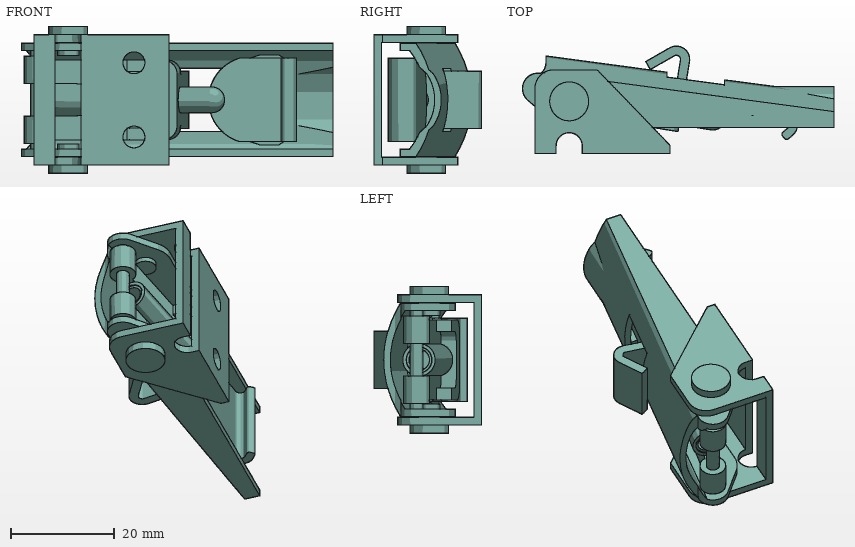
import cadquery as cq
import math


bracket_left = -6.6
bracket_right = 19.45
bracket_top = 6.05
bracket_bottom = -10.1
bracket_half_width = 12.55
bracket_wall = 1.5
bracket_corner_radius = 3.6
bracket_flat_right = 5.4
bracket_nose_height = 1.6
slot_width = 5.0
slot_depth = 4.0
screw_hole_diameter = 4.2
screw_hole_x = 12.65
screw_hole_z = 7.15

rivet_head_diameter = 7.5
rivet_head_height = 1.6
rivet_shank_diameter = 4.15
rivet_inner_end = 8.5

pin_x = -6.0
pin_y = 2.45
pin_diameter = 2.5

lever_half_width = 10.9
lever_wall = 1.45
lever_bottom = -5.05
lever_right = 51.0
lever_tilt = 7.6
ear_radius = 3.0
back_left = -4.5
back_left_crest = 8.75
back_sag = 3.3
back_thickness = 1.25
back_notch_y = 7.4
notch_foot = (-5.5, 5.4)
notch_middle = (-4.75, 6.3)
window_left = 18.85
window_right = 29.9
window_half_width = 6.05

ridge_left = 36.0
ridge_crest = 2.9
ridge_edge_y = 1.4
ridge_edge_z = 5.0
ridge_foot_y = -0.35
ridge_foot_z = 6.6

tab_thickness = 1.7
tab_half_width = 8.05
tab_tip_x = 27.0
tab_shoulder_x = 33.0
curl_x = 41.35
curl_y = -4.5
curl_radius = 2.65
curl_end_angle = -50.0
lip_length = 1.6
lip_rounding = 0.55
flange_left = 35.05
flange_right = 41.5
flange_left_slant = 1.8
flange_right_slant = 0.9
flange_half_width = 8.65
flange_thickness = 0.9

claw_tilt = 9.3
strap_thickness = 1.8
strap_half_width = 7.7
strap_end = 27.95
corner_start = 25.4
corner_middle = (27.3, 6.7)
corner_end_half_width = 4.9
eye_diameter = 5.0
eye_inner_z = 3.1
eye_outer_z = 8.4
rim_start = 18.2
rim_bottom = -3.85
rim_inner_half_width = 5.45
rim_lip_start = 24.0
rim_lip_half_width = 3.55
hook_half_width = 5.5
hook_outer_radius = 2.6
hook_bend_height = 9.85
hook_bend_angle = 129.0
hook_arm_length = 5.35

sleeve_diameter = 6.3
sleeve_start = 3.0
rod_diameter = 5.0
rod_dome_centre = 34.1
rod_counterbore_depth = 0.3
rod_bore_diameter = 4.0
rod_bore_depth = 12.0

rivet_hole_length = 2 * bracket_half_width
lever_slope = math.tan(math.radians(lever_tilt))
lever_inner_z = lever_half_width - lever_wall


def polar(centre, radius, angle):
    """Point at a distance and an angle in degrees from a centre."""
    turn = math.radians(angle)
    return centre[0] + radius * math.cos(turn), centre[1] + radius * math.sin(turn)


def centred_block(left, right, bottom, top, half_width):
    """Block that spans the given X and Y ranges and is centred on Z = 0."""
    block = cq.Workplane("XY").box(right - left, top - bottom, 2 * half_width, centered=(False, False, True))
    return block.translate((left, bottom, 0))


def along_z(diameter, length, x=0.0, y=0.0):
    """Cylinder parallel to Z and centred on Z = 0."""
    return cq.Workplane("XY").center(x, y).circle(diameter / 2).extrude(length).translate((0, 0, -length / 2))


def along_x(diameter, start, end):
    """Cylinder on the X axis."""
    return cq.Workplane("YZ").workplane(offset=start).circle(diameter / 2).extrude(end - start)


def make_bracket():
    """Channel with sloped side walls, split across its base by a slot."""
    nose_top = bracket_bottom + bracket_nose_height
    side = (
        cq.Workplane("XY")
        .moveTo(bracket_left, bracket_bottom)
        .lineTo(bracket_right, bracket_bottom)
        .lineTo(bracket_right, nose_top)
        .lineTo(bracket_flat_right, bracket_top)
        .lineTo(bracket_left + bracket_corner_radius, bracket_top)
        .radiusArc((bracket_left, bracket_top - bracket_corner_radius), -bracket_corner_radius)
        .close()
        .extrude(2 * bracket_half_width)
        .translate((0, 0, -bracket_half_width))
    )
    inside = centred_block(
        bracket_left,
        bracket_right,
        bracket_bottom + bracket_wall,
        bracket_top,
        bracket_half_width - bracket_wall,
    )
    slot_arc_y = bracket_bottom + slot_depth - slot_width / 2
    slot = centred_block(-slot_width / 2, slot_width / 2, bracket_bottom, slot_arc_y, bracket_half_width)
    slot = slot.union(along_z(slot_width, 2 * bracket_half_width, 0, slot_arc_y))
    screw_holes = (
        cq.Workplane("XZ", origin=(screw_hole_x, bracket_bottom, 0))
        .pushPoints([(0, screw_hole_z), (0, -screw_hole_z)])
        .circle(screw_hole_diameter / 2)
        .extrude(-bracket_wall)
    )
    rivet_holes = along_z(rivet_shank_diameter, rivet_hole_length)
    return side.cut(inside).cut(slot).cut(screw_holes).cut(rivet_holes)


def make_rivet(side):
    """Headed rivet on the +Z (side = 1) or -Z (side = -1) wall."""
    shank_length = bracket_half_width - rivet_inner_end
    rivet = (
        cq.Workplane("XY")
        .workplane(offset=side * rivet_inner_end)
        .circle(rivet_shank_diameter / 2)
        .extrude(side * shank_length)
    )
    head = (
        cq.Workplane("XY")
        .workplane(offset=side * bracket_half_width)
        .circle(rivet_head_diameter / 2)
        .extrude(side * rivet_head_height)
    )
    return rivet.union(head)


def arched_prism(half_width, drop):
    """Space under the arched back, lowered by drop and running down its slope."""
    start = 2 * back_left
    length = lever_right - 2 * start
    edge_y = -back_sag - drop
    floor_y = -lever_right
    prism = (
        cq.Workplane("YZ", origin=(start, 0, 0))
        .moveTo(floor_y, -half_width)
        .lineTo(edge_y, -half_width)
        .threePointArc((-drop, 0), (edge_y, half_width))
        .lineTo(floor_y, half_width)
        .close()
        .extrude(length)
    )
    return prism.rotate((0, 0, 0), (0, 0, 1), -lever_tilt).translate(
        (0, back_left_crest + back_left * lever_slope, 0)
    )


def ridge_prism(drop):
    """Space under the level ridge, lowered by drop."""
    return (
        cq.Workplane("YZ", origin=(ridge_left, 0, 0))
        .moveTo(lever_bottom, -ridge_foot_z)
        .lineTo(ridge_foot_y - drop, -ridge_foot_z)
        .lineTo(ridge_edge_y - drop, -ridge_edge_z)
        .threePointArc((ridge_crest - drop, 0), (ridge_edge_y - drop, ridge_edge_z))
        .lineTo(ridge_foot_y - drop, ridge_foot_z)
        .lineTo(lever_bottom, ridge_foot_z)
        .close()
        .extrude(lever_right - ridge_left)
    )


def make_lever_shell():
    """Open channel with an arched back and two ears that reach round the pin."""
    pivot = (0.0, 0.0)
    pin = (pin_x, pin_y)
    pivot_radius = -lever_bottom
    spacing = math.hypot(pin_x, pin_y)
    pin_to_pivot_angle = math.degrees(math.atan2(-pin_y, -pin_x))
    tangent_offset = math.degrees(math.acos((ear_radius - pivot_radius) / spacing))
    tangent_angle = pin_to_pivot_angle - tangent_offset
    pivot_arc_middle = polar(pivot, pivot_radius, (tangent_angle - 90) / 2)
    pivot_arc_end = polar(pivot, pivot_radius, tangent_angle)
    side = (
        cq.Workplane("XY")
        .moveTo(lever_right, lever_bottom)
        .lineTo(0, lever_bottom)
        .threePointArc(pivot_arc_middle, pivot_arc_end)
        .lineTo(*polar(pin, ear_radius, tangent_angle))
        .threePointArc(polar(pin, ear_radius, 180), notch_foot)
        .threePointArc(notch_middle, (back_left, back_notch_y))
        .lineTo(back_left, back_left_crest)
        .lineTo(lever_right, back_left_crest)
        .close()
        .extrude(2 * lever_half_width)
        .translate((0, 0, -lever_half_width))
    )
    outside = arched_prism(lever_half_width, 0).union(ridge_prism(0))
    inside = arched_prism(lever_inner_z, back_thickness).union(ridge_prism(back_thickness))
    window = centred_block(window_left, window_right, lever_bottom, back_left_crest, window_half_width)
    rivet_holes = along_z(rivet_shank_diameter, rivet_hole_length)
    return side.intersect(outside).cut(inside).cut(window).cut(rivet_holes)


def make_tab():
    """Finger tab: a plate with a rounded tip, a curled end and two side flanges."""
    curl = (curl_x, curl_y)
    inner_radius = curl_radius - tab_thickness
    plate_angle = 90 - lever_tilt
    curl_middle = (plate_angle + curl_end_angle) / 2
    lip_angle = curl_end_angle - 90
    plate_length = (curl_x - tab_tip_x) / math.cos(math.radians(lever_tilt)) + tab_thickness
    outer_start = polar(curl, curl_radius, plate_angle)
    inner_start = polar(curl, inner_radius, plate_angle)
    outer_end = polar(curl, curl_radius, curl_end_angle)
    inner_end = polar(curl, inner_radius, curl_end_angle)
    plate = (
        cq.Workplane("XY")
        .moveTo(*polar(inner_start, plate_length, 180 - lever_tilt))
        .lineTo(*polar(outer_start, plate_length, 180 - lever_tilt))
        .lineTo(*outer_start)
        .threePointArc(polar(curl, curl_radius, curl_middle), outer_end)
        .lineTo(*polar(outer_end, lip_length, lip_angle))
        .lineTo(*polar(inner_end, lip_length, lip_angle))
        .lineTo(*inner_end)
        .threePointArc(polar(curl, inner_radius, curl_middle), inner_start)
        .close()
        .extrude(2 * tab_half_width)
        .translate((0, 0, -tab_half_width))
    )
    lip_middle = polar(curl, curl_radius - tab_thickness / 2, curl_end_angle)
    lip_end = polar(lip_middle, lip_length, lip_angle)
    plate = plate.faces(cq.selectors.NearestToPointSelector((*lip_end, 0))).edges("|Z").fillet(lip_rounding)
    outline = (
        cq.Workplane("XZ", origin=(0, -lever_right, 0))
        .moveTo(lever_right, -tab_half_width)
        .lineTo(tab_shoulder_x, -tab_half_width)
        .threePointArc((tab_tip_x, 0), (tab_shoulder_x, tab_half_width))
        .lineTo(lever_right, tab_half_width)
        .close()
        .extrude(-2 * lever_right)
    )

    flange_bottom = outer_start[1]
    flange_outline = [
        (flange_left, 0),
        (flange_left, tab_half_width),
        (flange_left + flange_left_slant, flange_half_width),
        (flange_right - flange_right_slant, flange_half_width),
        (flange_right, tab_half_width),
        (flange_right, 0),
    ]
    flange = (
        cq.Workplane("XZ", origin=(0, flange_bottom, 0))
        .polyline(flange_outline)
        .close()
        .extrude(flange_bottom - back_left_crest)
    )
    flanges = flange.union(flange.mirror("XY"))
    between = centred_block(
        flange_left, flange_right, flange_bottom, back_left_crest, tab_half_width - flange_thickness
    )
    flanges = flanges.cut(between).intersect(arched_prism(lever_half_width, back_thickness / 2))
    return plate.intersect(outline).union(flanges)


def place_claw(part):
    """Move a shape from the claw's own axis to its place on the pin."""
    return part.rotate((0, 0, 0), (0, 0, 1), -claw_tilt).translate((pin_x, pin_y, 0))


def make_rod():
    """Sleeve that narrows to a rod with a domed end, on the claw's own axis."""
    sleeve = along_x(sleeve_diameter, sleeve_start, strap_end - strap_thickness)
    rod = along_x(rod_diameter, sleeve_start, rod_dome_centre)
    dome = cq.Workplane("XY").sphere(rod_diameter / 2).translate((rod_dome_centre, 0, 0))
    return sleeve.union(rod).union(dome)


def make_rod_bore():
    """Stepped blind hole in the sleeve end of the rod."""
    counterbore = along_x(rod_diameter, sleeve_start, sleeve_start + rod_counterbore_depth)
    return counterbore.union(along_x(rod_bore_diameter, sleeve_start, sleeve_start + rod_bore_depth))


def claw_plate(bottom, top):
    """Flat layer with the outline of the strap, between two heights."""
    return (
        cq.Workplane("XZ", origin=(0, top, 0))
        .moveTo(0, -strap_half_width)
        .lineTo(corner_start, -strap_half_width)
        .threePointArc((corner_middle[0], -corner_middle[1]), (strap_end, -corner_end_half_width))
        .lineTo(strap_end, corner_end_half_width)
        .threePointArc(corner_middle, (corner_start, strap_half_width))
        .lineTo(0, strap_half_width)
        .close()
        .extrude(top - bottom)
    )


def make_claw_rim():
    """U-shaped rim under the far end of the strap."""
    strap_bottom = -strap_thickness / 2
    rim = claw_plate(rim_bottom, strap_bottom)
    rim = rim.cut(centred_block(0, rim_start, rim_bottom, strap_bottom, strap_half_width))
    corner_radius = rim_inner_half_width - rim_lip_half_width
    corner = rim_lip_start - corner_radius
    recess = (
        cq.Workplane("XZ", origin=(0, strap_bottom, 0))
        .moveTo(rim_start, -rim_inner_half_width)
        .lineTo(corner, -rim_inner_half_width)
        .radiusArc((rim_lip_start, -rim_lip_half_width), -corner_radius)
        .lineTo(rim_lip_start, rim_lip_half_width)
        .radiusArc((corner, rim_inner_half_width), -corner_radius)
        .lineTo(rim_start, rim_inner_half_width)
        .close()
        .extrude(strap_bottom - rim_bottom)
    )
    return rim.cut(recess)


def make_claw_hook():
    """Hook that rises from the end of the strap and bends back towards the pin."""
    bend = (strap_end - hook_outer_radius, hook_bend_height)
    inner_radius = hook_outer_radius - strap_thickness
    arm_angle = 90 + hook_bend_angle
    outer_end = polar(bend, hook_outer_radius, hook_bend_angle)
    inner_end = polar(bend, inner_radius, hook_bend_angle)
    inner_middle = polar(bend, inner_radius, hook_bend_angle / 2)
    inner_face = strap_end - strap_thickness
    return (
        cq.Workplane("XY")
        .moveTo(strap_end, 0)
        .lineTo(strap_end, hook_bend_height)
        .threePointArc(polar(bend, hook_outer_radius, hook_bend_angle / 2), outer_end)
        .lineTo(*polar(outer_end, hook_arm_length, arm_angle))
        .lineTo(*polar(inner_end, hook_arm_length, arm_angle))
        .lineTo(*inner_end)
        .threePointArc(inner_middle, (inner_face, hook_bend_height))
        .lineTo(inner_face, 0)
        .close()
        .extrude(2 * hook_half_width)
        .translate((0, 0, -hook_half_width))
    )


def make_claw():
    """Strap with two eyes on the pin, an end rim, a hook and the rod along its middle."""
    strap = claw_plate(-strap_thickness / 2, strap_thickness / 2)
    eyes = along_z(eye_diameter, 2 * eye_outer_z)
    eye_gap = centred_block(
        -eye_diameter, sleeve_start + eye_diameter, -eye_diameter, eye_diameter, eye_inner_z
    )
    pin_hole = along_z(pin_diameter, 2 * eye_outer_z)
    claw = strap.union(eyes).cut(eye_gap).cut(pin_hole)
    claw = claw.union(make_claw_rim()).union(make_claw_hook()).union(make_rod()).cut(make_rod_bore())
    return place_claw(claw)


def make_lever():
    """Channel, pin and finger tab, with the tab recessed where the rod rests on it."""
    pin = along_z(pin_diameter, 2 * lever_inner_z, pin_x, pin_y)
    tab = make_tab().cut(place_claw(make_rod()))
    return make_lever_shell().union(pin).union(tab)


bracket = make_bracket()
lever = make_lever()
claw = make_claw()
rivets = [make_rivet(side) for side in (1, -1)]

result = cq.Compound.makeCompound([body.solids().val() for body in (bracket, lever, claw, *rivets)])